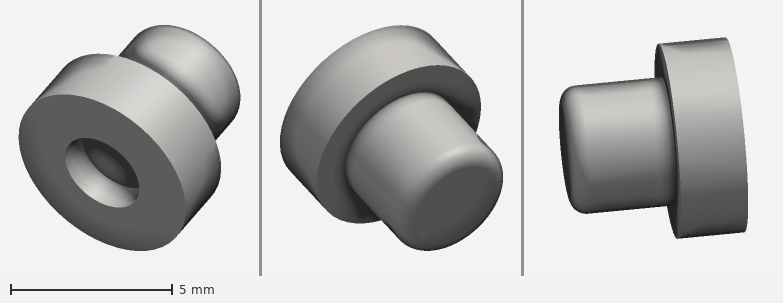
import cadquery as cq

flange_diameter = 6.08
flange_thickness = 2.1
stem_diameter = 4.0
overall_length = 5.3
stem_end_radius = 0.5
recess_diameter = 2.7
recess_depth = 1.0


def cylinder_along_y(diameter, start, length):
    """Cylinder on the Y axis, running from y = start towards +Y."""
    axis_start = cq.Vector(0, start, 0)
    axis_direction = cq.Vector(0, 1, 0)
    return cq.Workplane(cq.Solid.makeCylinder(diameter / 2, length, axis_start, axis_direction))


flange = cylinder_along_y(flange_diameter, 0, flange_thickness)

stem_length = overall_length - flange_thickness
stem = cylinder_along_y(stem_diameter, flange_thickness, stem_length)
stem = stem.faces(">Y").edges().fillet(stem_end_radius)

recess = cylinder_along_y(recess_diameter, 0, recess_depth)

result = flange.union(stem).cut(recess)